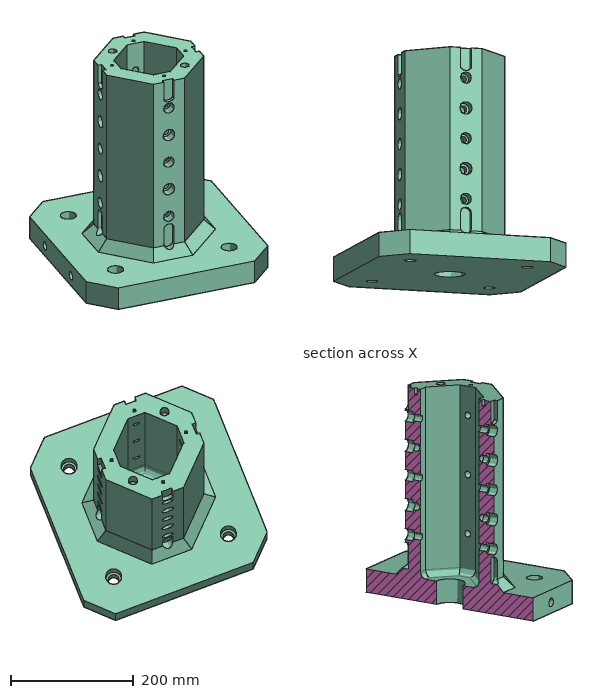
import cadquery as cq
import math

plate_width = 320.0
plate_height = 40.0
plate_corner_cut = 40.0
mount_hole_offset = 100.0
mount_hole_diameter = 18.0
mount_bore_diameter = 26.0
mount_bore_depth = 20.0

large_blind_diameter = 14.0

edge_hole_offset = 55.0
edge_hole_height = 18.5
edge_hole_depth = 30.0

total_height = 360.0
column_width = 171.0
half_column = column_width / 2
column_diagonal_width = 160.0
wall = 30.2
flare_size = 17.5
floor_hole_diameter = 50.0
floor_fillet = 10.8

lowest_hole_height = 110.0
hole_pitch = 50.0
hole_count = 5
through_diameter = 10.8
through_bore_diameter = 18.0
through_bore_depth = 15.0
blind_diameter = 12.0
blind_depth = 25.0
blind_bore_diameter = 20.0
blind_bore_depth = 15.0

keyway_width = 18.0
keyway_depth = 6.0
lower_keyway_bottom = 52.0
lower_keyway_top = 96.0
upper_keyway_shoulder = 327.0
upper_keyway_bottom = 322.2

top_hole_offset = 45.0
top_hole_depth = 30.0
pin_hole_diameter = 5.0
pin_hole_offset = 64.8
pin_hole_depth = 10.0

drill_tip_angle = 118.0
face_angles = (0, 90, 180, 270)


def octagon_points(inset):
    """Corners of the column octagon with every side moved inward by inset."""
    half = half_column - inset
    half_flat = math.sqrt(2) * (column_diagonal_width / 2 - inset) - half
    return [
        (half, -half_flat), (half, half_flat), (half_flat, half), (-half_flat, half),
        (-half, half_flat), (-half, -half_flat), (-half_flat, -half), (half_flat, -half),
    ]


def drill(diameter, depth):
    """Drilled hole shape running up from the origin, with a conical end past depth."""
    radius = diameter / 2
    tip_length = radius / math.tan(math.radians(drill_tip_angle / 2))
    profile = [(0, 0), (radius, 0), (radius, depth), (0, depth + tip_length)]
    return cq.Workplane("XZ").polyline(profile).close().revolve(360, (0, 0), (0, 1))


def cylinder(diameter, depth):
    return cq.Workplane("XY").circle(diameter / 2).extrude(depth)


def on_front(shape, x, y, z):
    """Turn an upward shape to run along +Y, starting at the given point."""
    return shape.rotate((0, 0, 0), (1, 0, 0), -90).translate((x, y, z))


def on_top(shape, x, y):
    """Turn an upward shape to run down from the top face."""
    return shape.rotate((0, 0, 0), (1, 0, 0), 180).translate((x, y, total_height))


def make_plate():
    plate = cq.Workplane("XY").rect(plate_width, plate_width).extrude(plate_height)
    plate = plate.edges("|Z").chamfer(plate_corner_cut)
    square = 2 * mount_hole_offset
    return (
        plate.faces(">Z").workplane().rect(square, square, forConstruction=True).vertices()
        .cboreHole(mount_hole_diameter, mount_bore_diameter, mount_bore_depth)
    )


def make_column():
    column_height = total_height - plate_height
    base = cq.Workplane("XY").workplane(offset=plate_height)
    column = base.polyline(octagon_points(0)).close().extrude(column_height)
    flare = (
        base.polyline(octagon_points(-flare_size)).close()
        .workplane(offset=flare_size).polyline(octagon_points(0)).close().loft(ruled=True)
    )
    return column.union(flare)


def make_cavity():
    """Octagonal hollow with a rounded floor edge, open through a round floor hole."""
    cavity = (
        cq.Workplane("XY").workplane(offset=plate_height)
        .polyline(octagon_points(wall)).close().extrude(total_height - plate_height)
        .faces("<Z").edges().fillet(floor_fillet)
    )
    return cavity.union(cylinder(floor_hole_diameter, 2 * plate_height))


def make_face_cuts():
    """Hole row and keyways of the front column face."""
    cuts = cq.Workplane("XY")
    for index in range(hole_count):
        height = lowest_hole_height + index * hole_pitch
        if index % 2 == 0:
            hole = cylinder(through_diameter, half_column)
            bore = cylinder(through_bore_diameter, through_bore_depth)
        else:
            hole = drill(blind_diameter, blind_depth)
            bore = cylinder(blind_bore_diameter, blind_bore_depth)
        cuts = cuts.add(on_front(hole.union(bore), 0, -half_column, height))

    keyway_floor = cq.Workplane("XZ", origin=(0, keyway_depth - half_column, 0))
    cut_length = keyway_depth + flare_size
    lower = (
        keyway_floor.center(0, (lower_keyway_bottom + lower_keyway_top) / 2)
        .slot2D(lower_keyway_top - lower_keyway_bottom, keyway_width, 90).extrude(cut_length)
    )
    side = keyway_width / 2
    upper = (
        keyway_floor.moveTo(-side, total_height).lineTo(-side, upper_keyway_shoulder)
        .threePointArc((0, upper_keyway_bottom), (side, upper_keyway_shoulder))
        .lineTo(side, total_height).close().extrude(cut_length)
    )
    return cuts.add(lower).add(upper)


def make_top_holes():
    cuts = cq.Workplane("XY")
    for sign in (1, -1):
        offset = sign * top_hole_offset
        cuts = cuts.add(on_top(drill(large_blind_diameter, top_hole_depth), offset, offset))
    for angle in face_angles:
        pin = on_top(drill(pin_hole_diameter, pin_hole_depth), pin_hole_offset, 0)
        cuts = cuts.add(pin.rotate((0, 0, 0), (0, 0, 1), angle))
    return cuts


def make_edge_holes():
    cuts = cq.Workplane("XY")
    for x in (-edge_hole_offset, edge_hole_offset):
        hole = drill(large_blind_diameter, edge_hole_depth)
        cuts = cuts.add(on_front(hole, x, -plate_width / 2, edge_hole_height))
    return cuts


def cut_all(body, cuts, angle=0):
    """Remove every cut shape from the body after turning it about the column axis."""
    for cut in cuts.vals():
        body = body.cut(cq.Workplane(cut.rotate((0, 0, 0), (0, 0, 1), angle)))
    return body


result = make_plate().union(make_column()).cut(make_cavity())
for face_angle in face_angles:
    result = cut_all(result, make_face_cuts(), face_angle)
result = cut_all(result, make_top_holes())
result = cut_all(result, make_edge_holes())